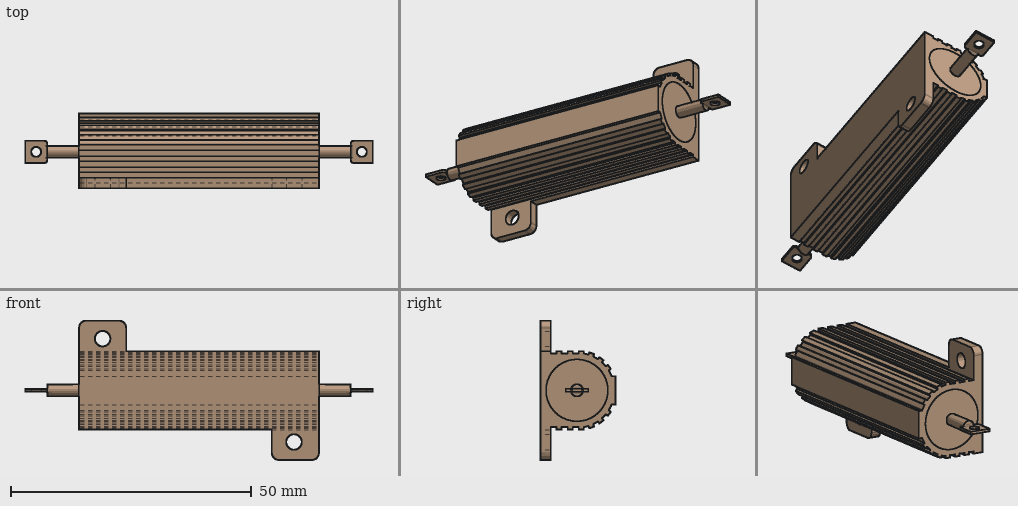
import cadquery as cq
import math

OVERALL_LENGTH = 72.25

HOUSING_LENGTH = 49.85
AXIS_HEIGHT = 7.6
BACK_RIB_HEIGHT = 8.0
BACK_RIB_WIDTH = 5.9
HOUSING_WIDTH = 16.3
FIN_HEIGHT = 0.5
BACK_RADIUS = 7.8
PLATE_THICKNESS = 2.2

FIN_WIDTH = 1.1
PLATE_GAP = 1.15
STRAIGHT_FIN_COUNT = 3
STRAIGHT_FIN_PITCH = 2.3
ROUND_FIN_COUNT = 3
ROUND_FIN_TOP = 8.3
ROUND_FIN_START = 21.7
ROUND_FIN_STEP = 16.2

OVERALL_WIDTH = 29.0
EAR_LENGTH = 9.8
EAR_CORNER_RADIUS = 1.5
EAR_HOLE_DIAMETER = 3.2
EAR_HOLE_EDGE_DISTANCE = 3.75
UPPER_HOLE_INSET = 4.9
LOWER_HOLE_INSET = 5.2

CORE_DIAMETER = 12.85
LEAD_DIAMETER = 2.5
TERMINAL_LENGTH = 4.6
TERMINAL_WIDTH = 4.6
TERMINAL_THICKNESS = 0.6
TERMINAL_CORNER_RADIUS = 0.6
TERMINAL_HOLE_DIAMETER = 2.0
JOINT_FILLET = 0.2

half_width = HOUSING_WIDTH / 2
flank_z = half_width - FIN_HEIGHT
flank_end_y = math.sqrt(BACK_RADIUS**2 - flank_z**2)
mount_face_y = -AXIS_HEIGHT
plate_top_y = mount_face_y + PLATE_THICKNESS
ear_height = (OVERALL_WIDTH - HOUSING_WIDTH) / 2
lead_span = OVERALL_LENGTH - 2 * TERMINAL_LENGTH


def bar(y_min, y_max, z_min, z_max):
    """Rectangular bar along the whole housing."""
    height = y_max - y_min
    width = z_max - z_min
    center = (0, (y_min + y_max) / 2, (z_min + z_max) / 2)
    return cq.Workplane("XY").box(HOUSING_LENGTH, height, width).translate(center)


def rod(diameter, length):
    """Round rod on the X axis, centred on x = 0."""
    return cq.Workplane("YZ").circle(diameter / 2).extrude(length / 2, both=True)


def half_turn(body):
    """Copy of a body turned 180 degrees about the Y axis."""
    return body.rotate((0, 0, 0), (0, 1, 0), 180)


def make_body():
    """Body without fins: two flat flanks joined by a rounded back."""
    return (
        cq.Workplane("YZ")
        .moveTo(mount_face_y, -flank_z)
        .lineTo(flank_end_y, -flank_z)
        .threePointArc((BACK_RADIUS, 0), (flank_end_y, flank_z))
        .lineTo(mount_face_y, flank_z)
        .close()
        .extrude(HOUSING_LENGTH / 2, both=True)
    )


def make_fins():
    """Straight fins on the top flank and radial fins on the upper half of the back."""
    fins = []
    for i in range(STRAIGHT_FIN_COUNT):
        y_min = plate_top_y + PLATE_GAP + i * STRAIGHT_FIN_PITCH
        fins.append(bar(y_min, y_min + FIN_WIDTH, 0, half_width))
    for i in range(ROUND_FIN_COUNT):
        fin = bar(-FIN_WIDTH / 2, FIN_WIDTH / 2, 0, ROUND_FIN_TOP)
        angle = ROUND_FIN_START + i * ROUND_FIN_STEP
        fins.append(fin.rotate((0, 0, 0), (1, 0, 0), -angle))
    return fins


def make_ear(hole_inset):
    """Ear at the -X, +Z corner, rising from the base plate."""
    ear = (
        cq.Workplane("XY")
        .box(EAR_LENGTH, PLATE_THICKNESS, ear_height, centered=False)
        .edges("|Y and >Z")
        .fillet(EAR_CORNER_RADIUS)
    )
    hole = (
        cq.Workplane("XZ")
        .center(hole_inset, ear_height - EAR_HOLE_EDGE_DISTANCE)
        .circle(EAR_HOLE_DIAMETER / 2)
        .extrude(-PLATE_THICKNESS)
    )
    return ear.cut(hole).translate((-HOUSING_LENGTH / 2, mount_face_y, half_width))


def make_housing():
    """Finned housing with a base plate, two ears and a through bore for the core."""
    housing = make_body()
    housing = housing.union(bar(mount_face_y, plate_top_y, -half_width, half_width))
    housing = housing.union(bar(0, BACK_RIB_HEIGHT, -BACK_RIB_WIDTH / 2, BACK_RIB_WIDTH / 2))
    for fin in make_fins():
        housing = housing.union(fin).union(half_turn(fin))
    housing = housing.union(make_ear(UPPER_HOLE_INSET))
    housing = housing.union(half_turn(make_ear(LOWER_HOLE_INSET)))
    return housing.cut(rod(CORE_DIAMETER, HOUSING_LENGTH))


def make_terminal():
    """Flat solder terminal at the -X end, with its inner corners rounded."""
    return (
        cq.Workplane("XY")
        .box(TERMINAL_LENGTH, TERMINAL_WIDTH, TERMINAL_THICKNESS)
        .edges("|Z and >X")
        .fillet(TERMINAL_CORNER_RADIUS)
        .faces(">Z")
        .workplane()
        .hole(TERMINAL_HOLE_DIAMETER)
        .translate(((TERMINAL_LENGTH - OVERALL_LENGTH) / 2, 0, 0))
    )


def make_joint():
    """Concave fillet between the -X lead end and the upper terminal face, as wide as the lead."""
    lead_end = -lead_span / 2
    face_z = TERMINAL_THICKNESS / 2
    arc_offset = JOINT_FILLET * (1 - math.sqrt(0.5))
    strip = (
        cq.Workplane("XZ")
        .moveTo(lead_end, face_z)
        .lineTo(lead_end, face_z + JOINT_FILLET)
        .threePointArc(
            (lead_end - arc_offset, face_z + arc_offset),
            (lead_end - JOINT_FILLET, face_z),
        )
        .close()
        .extrude(LEAD_DIAMETER / 2, both=True)
    )
    return strip.intersect(rod(LEAD_DIAMETER, OVERALL_LENGTH))


def make_core():
    """Core flush with the housing ends, with a lead and a terminal at each end."""
    core = rod(CORE_DIAMETER, HOUSING_LENGTH).union(rod(LEAD_DIAMETER, lead_span))
    joint = make_joint()
    for part in (make_terminal(), joint, joint.mirror("XY")):
        core = core.union(part).union(half_turn(part))
    return core


housing = make_housing()
core = make_core()
result = cq.Compound.makeCompound([housing.solids().val(), core.solids().val()])